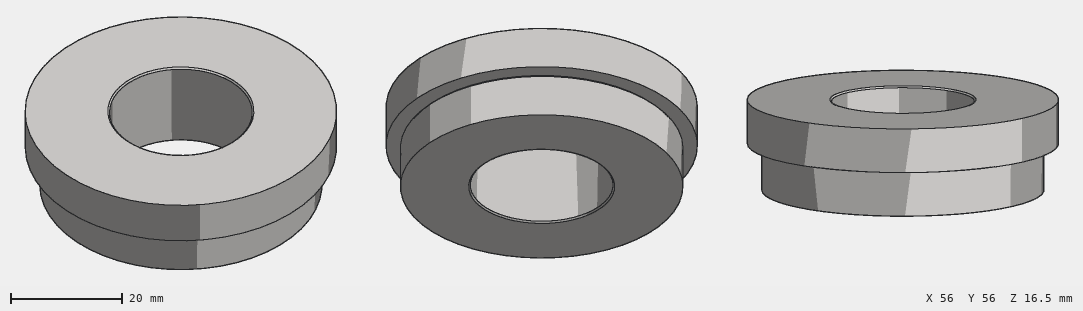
import cadquery as cq

flange_diameter = 56.0
flange_height = 8.0
spigot_diameter = 50.8
spigot_height = 8.0
undercut_diameter = 49.8
undercut_height = 0.5
bore_diameter = 25.65
bore_chamfer = 0.3

flange_bottom = spigot_height + undercut_height
total_height = flange_bottom + flange_height


def disc(diameter, bottom, height):
    """Solid disc on the Z axis, starting at the given level."""
    return cq.Workplane("XY").workplane(offset=bottom).circle(diameter / 2).extrude(height)


def outer_body():
    """Spigot, narrow undercut and wide flange stacked from the bottom up."""
    spigot = disc(spigot_diameter, 0, spigot_height)
    undercut = disc(undercut_diameter, spigot_height, undercut_height)
    flange = disc(flange_diameter, flange_bottom, flange_height)
    return spigot.union(undercut).union(flange)


def cut_bore(body):
    """Through bore with a small chamfer at both ends."""
    bored = body.cut(disc(bore_diameter, 0, total_height))
    bore_rims = cq.selectors.RadiusNthSelector(0)
    return bored.faces("<Z or >Z").edges(bore_rims).chamfer(bore_chamfer)


result = cut_bore(outer_body())